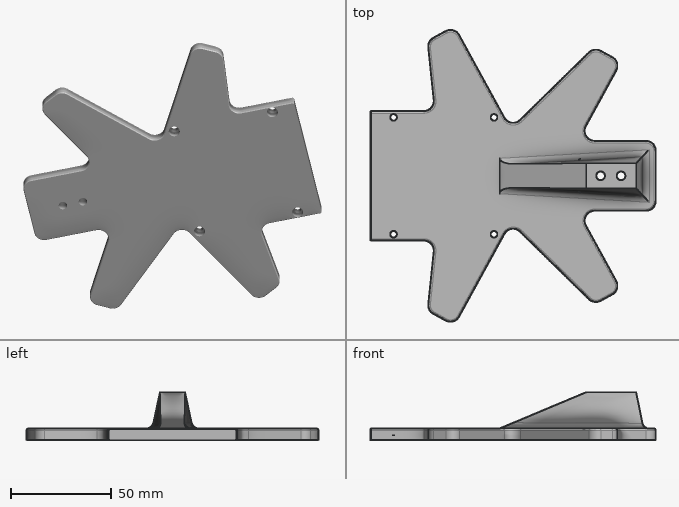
import cadquery as cq
import math

LENGTH = 142.4
WIDTH = 145.5
PLATE_THICKNESS = 6.0
PALM_HALF_WIDTH = 32.3
MIDDLE_FINGER_HALF_WIDTH = 17.5
OUTLINE_RADIUS = 5.0
FINGER_TILT = math.radians(28.7)
TILT_SLOPE = math.tan(FINGER_TILT)

PALM_NOTCH = (32.2, PALM_HALF_WIDTH)
REAR_TIP_OUTER_X = 28.5
FINGER_NOTCH = (70.0, 23.3)
FRONT_TIP_INNER_X = 111.7
FRONT_TIP_OUTER = (125.0, 56.8)

TOP_ROUND = 1.0
SMALL_CHAMFER = 0.5

PLATE_HOLE_DIAMETER = 3.2
PLATE_SEAT_DIAMETER = 5.5
PLATE_SEAT_DEPTH = 2.6
PLATE_HOLE_X = (11.6, 61.7)
PLATE_HOLE_Y = 29.1

POST_TOP_Z = 24.0
POST_BASE_X = (64.5, 136.3)
POST_BASE_HALF_WIDTHS = (5.8, 10.2)
POST_TOP_X = (107.6, 132.6)
POST_TOP_HALF_WIDTHS = (6.3, 6.3)
POST_FOOT_RADIUS = 3.3
POST_HOLE_DIAMETER = 4.2
POST_HOLE_X = (114.9, 125.0)

POST_BED_X = (58.2, 145.5)
POST_BED_HALF_WIDTH = 14.5
POST_PROFILE_HALF_WIDTH = 13.8
POST_MIDDLE_X = (87.3, 116.5)
POST_OVERRUN = 0.05
EDGE_TOLERANCE = 0.1


def mirrored_outline(half):
    """Close a +Y half outline with its mirror image across the X axis."""
    return half + [(x, -y) for x, y in reversed(half)]


def edges_between(x_range):
    """Selector for the edges at the plate's top face, inside the bed, whose centres lie in x_range."""
    half_width = POST_BED_HALF_WIDTH - EDGE_TOLERANCE
    low = (x_range[0], -half_width, PLATE_THICKNESS - EDGE_TOLERANCE)
    high = (x_range[1], half_width, PLATE_THICKNESS + EDGE_TOLERANCE)
    return cq.selectors.BoxSelector(low, high)


def outline_corners():
    """Sharp corners of the +Y half outline that get rounded, from the palm to the middle finger."""
    rear_inner_y = WIDTH / 2 + OUTLINE_RADIUS * (math.cos(FINGER_TILT) + math.sin(FINGER_TILT) - 1)
    rear_inner_x = FINGER_NOTCH[0] - (rear_inner_y - FINGER_NOTCH[1]) * TILT_SLOPE
    rear_outer_y = rear_inner_y - (rear_inner_x - REAR_TIP_OUTER_X) * TILT_SLOPE

    front_outer_x, front_outer_y = FRONT_TIP_OUTER
    front_inner_y = front_outer_y + (front_outer_x - FRONT_TIP_INNER_X) * TILT_SLOPE
    middle_notch_x = front_outer_x - (front_outer_y - MIDDLE_FINGER_HALF_WIDTH) * TILT_SLOPE
    return [
        PALM_NOTCH,
        (REAR_TIP_OUTER_X, rear_outer_y),
        (rear_inner_x, rear_inner_y),
        FINGER_NOTCH,
        (FRONT_TIP_INNER_X, front_inner_y),
        FRONT_TIP_OUTER,
        (middle_notch_x, MIDDLE_FINGER_HALF_WIDTH),
        (LENGTH, MIDDLE_FINGER_HALF_WIDTH),
    ]


def make_plate():
    outline = mirrored_outline([(0, PALM_HALF_WIDTH)] + outline_corners())
    plate = cq.Workplane("XY").polyline(outline).close().extrude(PLATE_THICKNESS)
    plate = plate.edges("|Z").edges("not <X").fillet(OUTLINE_RADIUS)
    plate = plate.faces(">Z").edges("not <X").fillet(TOP_ROUND)
    plate = plate.faces("<Z").edges("not <X").chamfer(SMALL_CHAMFER)
    return plate.faces("<X").edges("not <Z").chamfer(SMALL_CHAMFER)


def post_section(x_ends, half_widths, z):
    """Trapezoid at height z, lengthened at both ends by the overrun."""
    half = []
    for fraction in (-POST_OVERRUN, 1 + POST_OVERRUN):
        x = x_ends[0] + (x_ends[1] - x_ends[0]) * fraction
        y = half_widths[0] + (half_widths[1] - half_widths[0]) * fraction
        half.append((x, y))
    corners = [cq.Vector(x, y, z) for x, y in mirrored_outline(half)]
    return cq.Wire.makePolygon(corners, close=True)


def make_post_sides():
    """Overlong post whose tapered sides flare into the bed."""
    bottom = post_section(POST_BASE_X, POST_BASE_HALF_WIDTHS, PLATE_THICKNESS)
    top = post_section(POST_TOP_X, POST_TOP_HALF_WIDTHS, POST_TOP_Z)
    sides = cq.Workplane(cq.Solid.makeLoft([bottom, top], True))
    bed = (
        cq.Workplane("XY")
        .moveTo(sum(POST_BED_X) / 2, 0)
        .rect(POST_BED_X[1] - POST_BED_X[0], 2 * POST_BED_HALF_WIDTH)
        .extrude(PLATE_THICKNESS)
    )
    return bed.union(sides).edges(edges_between(POST_MIDDLE_X)).fillet(POST_FOOT_RADIUS)


def make_post_profile():
    """Post profile along X with a sloping front and a flared back, wider than the post."""
    back_end = POST_BASE_X[1] + POST_FOOT_RADIUS
    outline = [
        (POST_BASE_X[0], PLATE_THICKNESS),
        (POST_TOP_X[0], POST_TOP_Z),
        (POST_TOP_X[1], POST_TOP_Z),
        (POST_BASE_X[1], PLATE_THICKNESS),
        (back_end, PLATE_THICKNESS),
        (back_end, PLATE_THICKNESS / 2),
        (POST_BASE_X[0], PLATE_THICKNESS / 2),
    ]
    profile = cq.Workplane("XZ").polyline(outline).close().extrude(POST_PROFILE_HALF_WIDTH, both=True)
    back_edge = edges_between((POST_BASE_X[1] - EDGE_TOLERANCE, POST_BASE_X[1] + EDGE_TOLERANCE))
    return profile.edges(back_edge).fillet(POST_FOOT_RADIUS)


def make_cylinders(points, diameter, height):
    """Upright cylinders that start at the plate's underside."""
    return cq.Workplane("XY").pushPoints(points).circle(diameter / 2).extrude(height)


plate_holes = [(x, side * PLATE_HOLE_Y) for x in PLATE_HOLE_X for side in (-1, 1)]
post_holes = [(x, 0) for x in POST_HOLE_X]

result = (
    make_plate()
    .union(make_post_sides().intersect(make_post_profile()))
    .cut(make_cylinders(plate_holes, PLATE_HOLE_DIAMETER, PLATE_THICKNESS))
    .cut(make_cylinders(plate_holes, PLATE_SEAT_DIAMETER, PLATE_SEAT_DEPTH))
    .cut(make_cylinders(post_holes, POST_HOLE_DIAMETER, POST_TOP_Z))
)